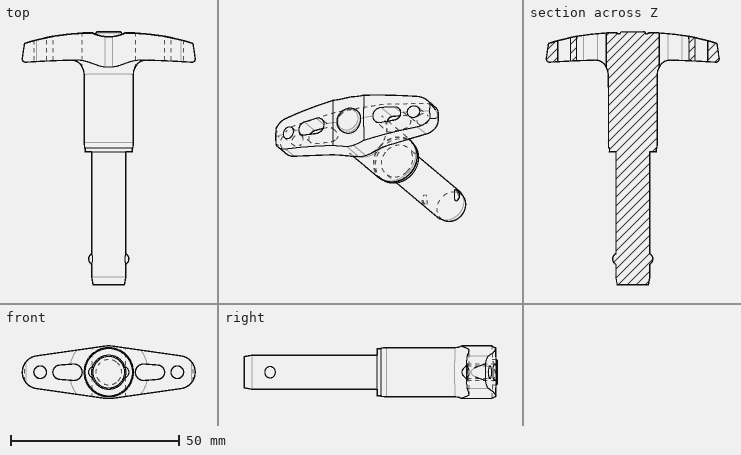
import cadquery as cq
import math


shank_radius = 5.1
shank_length = 39.6
tip_radius = 4.7
tip_taper_length = 2.3
collar_radius = 7.05
collar_length = 1.2
sleeve_radius = 7.35
sleeve_end_radius = 7.2
sleeve_round_start = 2.8
grip_fillet_radius = 4.2

ball_radius = 1.8
ball_reach = 6.0
ball_to_tip = 7.75

overall_width = 51.5
grip_half_width = overall_width / 2
hub_radius = 7.895
end_radius = 4.95
end_center_x = grip_half_width - end_radius

crown_y = 35.5
crown_start_x = 5.0
crown_radius = 64.5
dip_depth = 1.1
end_top_x = 25.1
end_slant_y = 27.9
underside_center_y = 27.43
underside_radius = 385.0
end_corner_radius = 1.0
back_slope = 1.6

hole_center_x = 20.4
hole_diameter = 3.7
slot_inner_x = 7.95
slot_inner_radius = 2.42
slot_outer_x = 16.6
slot_outer_radius = 2.1

button_radius = 3.8
button_edge_radius = 0.5
overall_length = 75.4
button_top_y = overall_length - shank_length

plate_width = 4 * hub_radius
through = 100.0
margin = 1.0


def crown_height(x):
    """Height of the domed grip back at distance x from the pin axis."""
    return crown_y - crown_radius + math.sqrt(crown_radius**2 - (x - crown_start_x) ** 2)


def underside_height(x):
    """Height of the bowed grip underside at distance x from the pin axis."""
    return underside_center_y - underside_radius + math.sqrt(underside_radius**2 - x**2)


def along_y(sketch_plane_y):
    """Workplane in XZ at the given Y, whose extrusions run toward -Y."""
    return cq.Workplane("XZ", origin=(0, sketch_plane_y, 0))


def make_tapered_prism(left_x, left_radius, right_x, right_radius):
    """Long prism along Y around two circles of different size, joined by their common tangents."""
    tangent_angle = math.asin((left_radius - right_radius) / (right_x - left_x))
    sine = math.sin(tangent_angle)
    cosine = math.cos(tangent_angle)
    left_tangent_x = left_x + left_radius * sine
    left_tangent_z = left_radius * cosine
    right_tangent_x = right_x + right_radius * sine
    right_tangent_z = right_radius * cosine
    return (
        along_y(through / 2)
        .moveTo(left_tangent_x, left_tangent_z)
        .lineTo(right_tangent_x, right_tangent_z)
        .threePointArc((right_x + right_radius, 0), (right_tangent_x, -right_tangent_z))
        .lineTo(left_tangent_x, -left_tangent_z)
        .threePointArc((left_x - left_radius, 0), (left_tangent_x, left_tangent_z))
        .close()
        .extrude(through)
    )


def both_sides(solid):
    """The solid joined with its mirror image across the YZ plane."""
    return solid.union(solid.mirror("YZ"))


def make_plate():
    """Grip profile with a bowed underside, wider in Z than the finished grip."""
    underside_end_y = underside_height(grip_half_width)
    plate = (
        cq.Workplane("XY")
        .moveTo(-grip_half_width, underside_end_y)
        .threePointArc((0, underside_center_y), (grip_half_width, underside_end_y))
        .lineTo(grip_half_width, end_slant_y)
        .lineTo(end_top_x, crown_height(end_top_x))
        .lineTo(end_top_x, crown_y)
        .lineTo(-end_top_x, crown_y)
        .lineTo(-end_top_x, crown_height(end_top_x))
        .lineTo(-grip_half_width, end_slant_y)
        .close()
        .extrude(plate_width / 2, both=True)
    )
    lower_corners = plate.edges("|Z").edges(cq.selectors.BoxSelector(
        (-through, underside_end_y - margin, -through), (through, underside_end_y + margin, through)
    ))
    return lower_corners.fillet(end_corner_radius)


def make_back_cutter(tilt):
    """Space behind the grip back, with domed wings and a dip at the button, tilted about X."""
    dip_y = crown_y - dip_depth
    dome_end_x = grip_half_width + margin
    dome_mid_x = (crown_start_x + dome_end_x) / 2
    dome_mid_y = crown_height(dome_mid_x)
    dome_end_y = crown_height(dome_end_x)
    cutter = (
        cq.Workplane("XY")
        .moveTo(-dome_end_x, dome_end_y)
        .threePointArc((-dome_mid_x, dome_mid_y), (-crown_start_x, crown_y))
        .threePointArc((0, dip_y), (crown_start_x, crown_y))
        .threePointArc((dome_mid_x, dome_mid_y), (dome_end_x, dome_end_y))
        .lineTo(dome_end_x, crown_y + dip_depth)
        .lineTo(-dome_end_x, crown_y + dip_depth)
        .close()
        .extrude(plate_width, both=True)
    )
    pivot = (0, crown_y, 0)
    return cutter.rotate(pivot, (1, crown_y, 0), tilt)


def make_grip():
    """Plate blended into the sleeve, then trimmed to the outline and the domed back."""
    dip_y = crown_y - dip_depth
    sleeve = along_y(dip_y).circle(sleeve_radius).extrude(dip_y - sleeve_round_start)
    sleeve_joint = cq.selectors.BoxSelector(
        (-hub_radius, underside_center_y - margin, -hub_radius),
        (hub_radius, underside_center_y + margin, hub_radius),
    )
    grip = make_plate().union(sleeve).edges(sleeve_joint).fillet(grip_fillet_radius)
    outline = both_sides(make_tapered_prism(0, hub_radius, end_center_x, end_radius))
    grip = grip.intersect(outline)
    for tilt in (-back_slope, back_slope):
        grip = grip.cut(make_back_cutter(tilt))
    return grip


def make_openings():
    """Lanyard hole and slot in each wing."""
    hole = along_y(through / 2).center(hole_center_x, 0).circle(hole_diameter / 2).extrude(through)
    slot = make_tapered_prism(
        slot_inner_x + slot_inner_radius,
        slot_inner_radius,
        slot_outer_x - slot_outer_radius,
        slot_outer_radius,
    )
    return both_sides(hole.union(slot))


def make_pin():
    """Turned body: tapered tip, shank, collar, rounded sleeve end and release button."""
    round_length = sleeve_round_start - collar_length
    round_drop = sleeve_radius - sleeve_end_radius
    round_radius = (round_length**2 + round_drop**2) / (2 * round_drop)
    round_mid_y = sleeve_round_start - round_length / 2
    round_mid_radius = sleeve_radius - round_radius + math.sqrt(round_radius**2 - (round_length / 2) ** 2)
    return (
        cq.Workplane("XY")
        .moveTo(0, -shank_length)
        .lineTo(tip_radius, -shank_length)
        .lineTo(shank_radius, tip_taper_length - shank_length)
        .lineTo(shank_radius, 0)
        .lineTo(collar_radius, 0)
        .lineTo(collar_radius, collar_length)
        .lineTo(sleeve_end_radius, collar_length)
        .threePointArc((round_mid_radius, round_mid_y), (sleeve_radius, sleeve_round_start))
        .lineTo(button_radius, sleeve_round_start)
        .lineTo(button_radius, button_top_y - button_edge_radius)
        .radiusArc((button_radius - button_edge_radius, button_top_y), -button_edge_radius)
        .lineTo(0, button_top_y)
        .close()
        .revolve(360, (0, 0, 0), (0, 1, 0))
    )


def make_balls():
    """Locking balls standing out of both sides of the shank."""
    offset = ball_reach - ball_radius
    ball_y = ball_to_tip - shank_length
    ball = cq.Workplane("XY").sphere(ball_radius).translate((offset, ball_y, 0))
    return both_sides(ball)


grip = make_grip().cut(make_openings())
result = grip.union(make_pin()).union(make_balls())